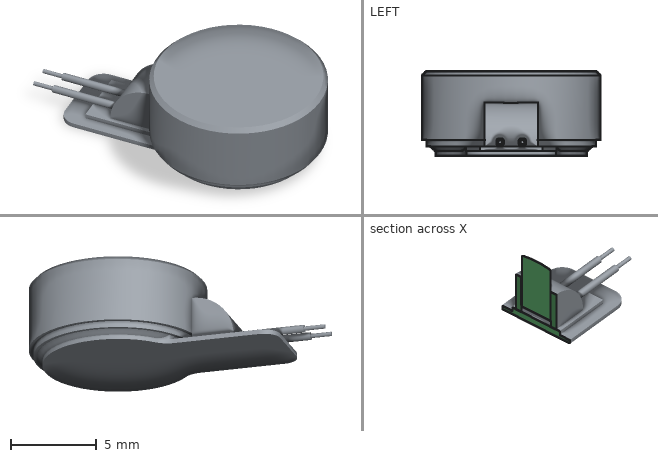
import cadquery as cq
import math

overall_length = 18.0
overall_height = 4.93
plate_top = 0.27
pad_top = 0.54
can_bottom = 0.92

can_radius = 10.4 / 2
step_radius = 9.88 / 2
rim_chamfer = can_radius - step_radius
plate_radius = 4.41
neck_radius = 4.72

tongue_reach = 10.37
tongue_half_width = 2.6
tongue_corner_radius = 0.99
tongue_blend_radius = 1.35
pad_reach = 8.98
pad_width = 3.64

cover_radius = 2.55
cover_width = 3.1
cover_axis_x = -4.95

wire_tip_x = can_radius - overall_length
sleeve_radius = 0.45 / 2
conductor_radius = 0.25 / 2
bare_length = 1.26
wire_offset_y = 0.65
wire_z = 0.8
socket_depth = 0.54


def disc(radius, bottom, top):
    return cq.Workplane("XY").workplane(offset=bottom).circle(radius).extrude(top - bottom)


def make_plate(height):
    """Round plate whose rounded tongue blends into the disc by concave arcs."""
    blend_y = tongue_half_width + tongue_blend_radius
    centre_distance = plate_radius + tongue_blend_radius
    blend_x = -math.sqrt(centre_distance**2 - blend_y**2)
    touch_x = blend_x * plate_radius / centre_distance
    touch_y = blend_y * plate_radius / centre_distance
    touch_angle = math.atan2(touch_y - blend_y, touch_x - blend_x)
    middle_angle = (touch_angle - math.pi / 2) / 2
    middle_x = blend_x + tongue_blend_radius * math.cos(middle_angle)
    middle_y = blend_y + tongue_blend_radius * math.sin(middle_angle)

    outline = (
        cq.Workplane("XY")
        .moveTo(-tongue_reach, -tongue_half_width)
        .lineTo(blend_x, -tongue_half_width)
        .threePointArc((middle_x, -middle_y), (touch_x, -touch_y))
        .threePointArc((plate_radius, 0), (touch_x, touch_y))
        .threePointArc((middle_x, middle_y), (blend_x, tongue_half_width))
        .lineTo(-tongue_reach, tongue_half_width)
        .close()
    )
    return outline.extrude(height).edges("|Z and <X").fillet(tongue_corner_radius)


def make_neck():
    """Neck that flares upwards from the plate, but stands straight over the tongue."""
    flare = (
        cq.Workplane("XY")
        .workplane(offset=plate_top)
        .circle(plate_radius)
        .workplane(offset=pad_top - plate_top)
        .circle(neck_radius)
        .loft()
    )
    straight = disc(neck_radius, plate_top, pad_top).intersect(make_plate(pad_top))
    return flare.union(straight)


def make_housing():
    can = disc(can_radius, can_bottom, overall_height).faces(">Z").edges().chamfer(rim_chamfer)
    step = disc(step_radius, pad_top, can_bottom)
    pad = cq.Workplane("XY").box(
        pad_reach, pad_width, pad_top - plate_top, centered=(False, True, False)
    ).translate((-pad_reach, 0, plate_top))
    return can.union(step).union(make_neck()).union(pad).union(make_plate(plate_top))


def make_wire(y):
    """Sleeved lead with a bare tip; its inner end lies inside the cover."""
    sleeve_start = wire_tip_x + bare_length
    sleeve_end = cover_axis_x - cover_radius + socket_depth
    tip = cq.Workplane("YZ", origin=(wire_tip_x, y, wire_z))
    sleeve = cq.Workplane("YZ", origin=(sleeve_start, y, wire_z))
    bare = tip.circle(conductor_radius).extrude(bare_length)
    return bare.union(sleeve.circle(sleeve_radius).extrude(sleeve_end - sleeve_start))


def make_cover(wires):
    """Quarter-round block on the pad, hollowed to the can wall, with wire sockets."""
    round_bar = (
        cq.Workplane("XZ", origin=(cover_axis_x, 0, pad_top))
        .circle(cover_radius)
        .extrude(cover_width / 2, both=True)
    )
    keep = cq.Workplane("XY").box(
        cover_radius, cover_width, cover_radius, centered=(False, True, False)
    ).translate((cover_axis_x - cover_radius, 0, pad_top))
    cover = round_bar.intersect(keep).cut(disc(can_radius, 0, overall_height))
    for wire in wires:
        cover = cover.cut(wire)
    return cover


housing = make_housing()
wires = [make_wire(side * wire_offset_y) for side in (-1, 1)]
cover = make_cover(wires)

result = cq.Compound.makeCompound([housing.val(), cover.val(), *[wire.val() for wire in wires]])